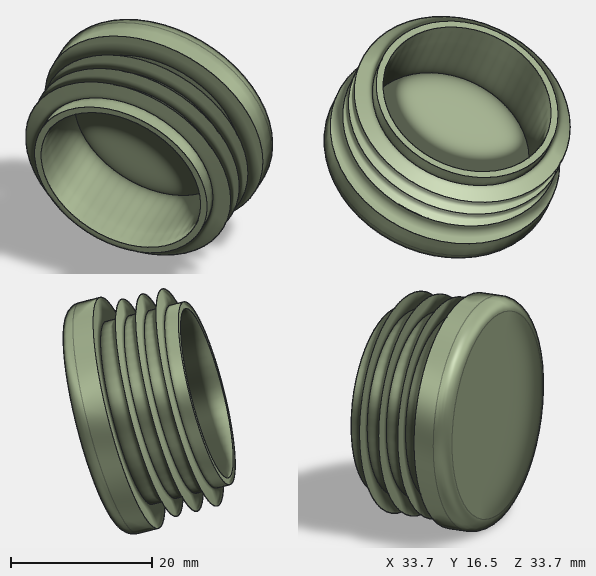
import cadquery as cq


head_diameter = 33.7
total_length = 16.5

head_thickness = 5.0
head_edge_radius = 2.0

sleeve_diameter = 26.7
wall_thickness = 1.0
sleeve_length = total_length - head_thickness
bore_diameter = sleeve_diameter - 2 * wall_thickness

fin_diameter = 31.7
fin_root_thickness = 0.5
fin_pitch = 3.0
fin_count = 3

open_end = -total_length / 2
head_underside = open_end + sleeve_length


def cylinder(diameter, start, length):
    """Solid cylinder on the Y axis, running from start towards +Y."""
    base = cq.Plane(origin=(0, start, 0), xDir=(1, 0, 0), normal=(0, 1, 0))
    return cq.Workplane(base).circle(diameter / 2).extrude(length)


def fin(flat_face):
    """Sharp-rimmed conical disc whose flat side faces +Y at flat_face."""
    root = flat_face - fin_root_thickness
    profile = [
        (0, flat_face),
        (fin_diameter / 2, flat_face),
        (sleeve_diameter / 2, root),
        (0, root),
    ]
    return cq.Workplane("XY").polyline(profile).close().revolve(360, (0, 0, 0), (0, 1, 0))


head = cylinder(head_diameter, head_underside, head_thickness)
head = head.faces(">Y").edges().fillet(head_edge_radius)

plug = head.union(cylinder(sleeve_diameter, open_end, sleeve_length))
for fin_number in range(1, fin_count + 1):
    plug = plug.union(fin(head_underside - fin_number * fin_pitch))

result = plug.cut(cylinder(bore_diameter, open_end, sleeve_length))